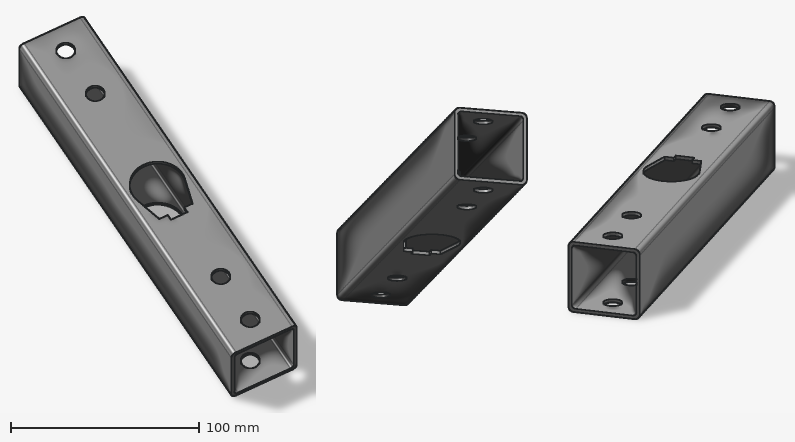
import cadquery as cq
import math

length = 230.0
width = 40.0
wall = 2.0
outer_radius = 3.0
inner_width = width - 2 * wall
inner_radius = 2.0

hole_diameter = 10.1
hole_offsets = (68.0, 100.0)

opening_radius = 15.0
opening_center_x = -0.2
taper_angle = math.radians(15)
flat_end_x = 19.5
notch_end_x = 23.0
notch_half_width = 5.0

cut_depth = 2 * width


def square_bar(side, corner_radius):
    """Bar along X with rounded long edges."""
    return cq.Workplane("XY").box(length, side, side).edges("|X").fillet(corner_radius)


def round_holes():
    points = [(sign * offset, 0) for offset in hole_offsets for sign in (-1, 1)]
    return (
        cq.Workplane("XY")
        .pushPoints(points)
        .circle(hole_diameter / 2)
        .extrude(cut_depth / 2, both=True)
    )


def central_opening():
    tangent_x = opening_center_x + opening_radius * math.sin(taper_angle)
    tangent_y = opening_radius * math.cos(taper_angle)
    flat_half_width = tangent_y - (flat_end_x - tangent_x) * math.tan(taper_angle)
    return (
        cq.Workplane("XY")
        .moveTo(tangent_x, -tangent_y)
        .lineTo(flat_end_x, -flat_half_width)
        .lineTo(flat_end_x, -notch_half_width)
        .lineTo(notch_end_x, -notch_half_width)
        .lineTo(notch_end_x, notch_half_width)
        .lineTo(flat_end_x, notch_half_width)
        .lineTo(flat_end_x, flat_half_width)
        .lineTo(tangent_x, tangent_y)
        .threePointArc((opening_center_x - opening_radius, 0), (tangent_x, -tangent_y))
        .close()
        .extrude(cut_depth / 2, both=True)
    )


tube = square_bar(width, outer_radius).cut(square_bar(inner_width, inner_radius))
result = tube.cut(round_holes()).cut(central_opening())